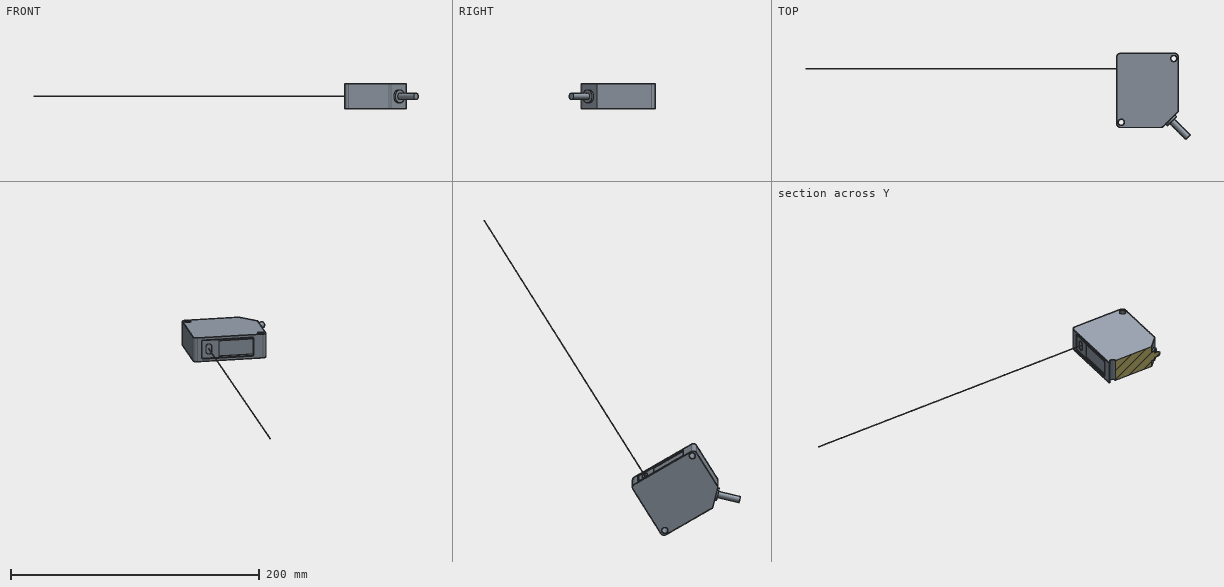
import cadquery as cq
import math

total_length = 309.5
total_width = 69.5

housing_length = 49.8
housing_width = 60.0
housing_height = 20.5
corner_radius = 3.0
cable_bevel = 13.0
bevel_radius = 2.5

cover_thickness = 0.3
cover_inset = 0.3

hole_diameter = 4.5
cover_hole_diameter = 5.3
hole_inset_x = 3.7
hole_inset_y = 4.3

window_width = 43.0
window_height = 16.0
window_radius = 1.5
window_inset = 6.5
rim_depth = 0.3
window_step = 0.5
step_depth = 0.3
panel_width = 28.0
panel_height = 12.7
panel_depth = 0.3

lens_width = 4.5
lens_height = 8.7
lens_depth = 0.3
beam_inset = 12.7
beam_diameter = 0.3

gland_diameter = 10.5
gland_thickness = 2.0
cable_diameter = 5.3

window_low_y = housing_width - window_inset - window_width
step_low_y = window_low_y + window_step
window_floor = rim_depth + step_depth
panel_floor = window_floor + panel_depth
beam_y = housing_width - beam_inset

slant = math.sqrt(0.5)
cable_base_x = housing_length - cable_bevel / 2
cable_base_y = cable_bevel / 2
cable_end_y = housing_width - total_width + cable_diameter / 2 * slant
cable_length = (cable_base_y - cable_end_y) / slant
cable_tip_x = cable_base_x + (cable_length + cable_diameter / 2) * slant
beam_start_x = cable_tip_x - total_length


def outline_block(height):
    """Block with the housing outline: -X and +Y corners rounded, one corner bevelled for the cable."""
    block = (
        cq.Workplane("XY")
        .lineTo(housing_length - cable_bevel, 0)
        .lineTo(housing_length, cable_bevel)
        .lineTo(housing_length, housing_width)
        .lineTo(0, housing_width)
        .close()
        .extrude(height / 2, both=True)
    )
    block = block.edges("|Z and (<X or >Y)").fillet(corner_radius)
    bevel_start = cq.selectors.NearestToPointSelector((housing_length - cable_bevel, 0, 0))
    return block.edges(bevel_start).fillet(bevel_radius)


def housing():
    """Case with a thin cover, set in all around, on its top and on its bottom."""
    case = outline_block(housing_height - 2 * cover_thickness)
    covers = (
        outline_block(housing_height)
        .faces(">Z")
        .wires()
        .toPending()
        .offset2D(-cover_inset)
        .extrude(-housing_height, combine=False)
    )
    return case.union(covers)


def mounting_holes():
    """Through holes, slightly wider where they pass through the covers."""
    places = [
        (hole_inset_x, hole_inset_y),
        (housing_length - hole_inset_x, housing_width - hole_inset_y),
    ]
    holes = (
        cq.Workplane("XY")
        .pushPoints(places)
        .circle(hole_diameter / 2)
        .extrude(housing_height / 2, both=True)
    )
    for cover_low_z in (-housing_height / 2, housing_height / 2 - cover_thickness):
        cover_holes = (
            cq.Workplane("XY", origin=(0, 0, cover_low_z))
            .pushPoints(places)
            .circle(cover_hole_diameter / 2)
            .extrude(cover_thickness)
        )
        holes = holes.union(cover_holes)
    return holes


def recess(depth, low_y, width, height):
    """Block that sinks a rectangle of the -X face to the given depth."""
    block = cq.Workplane("XY").box(depth, width, height, centered=(False, False, True))
    return block.translate((0, low_y, 0))


def window():
    """Stepped recess of the optical window with its deeper panel."""
    rim = recess(rim_depth, window_low_y, window_width, window_height)
    rim = rim.edges("|X").fillet(window_radius)
    floor_width = window_width - 2 * window_step
    floor_height = window_height - 2 * window_step
    floor = recess(window_floor, step_low_y, floor_width, floor_height)
    panel = recess(panel_floor, step_low_y, panel_width, panel_height)
    return rim.union(floor).union(panel)


def lens():
    """Shallow upright slot around the beam, sunk into the window floor."""
    return (
        cq.Workplane("YZ", origin=(window_floor, beam_y, 0))
        .slot2D(lens_height, lens_width, 90)
        .extrude(lens_depth)
    )


def beam():
    """Thin round rod along X that runs into the middle of the housing."""
    return (
        cq.Workplane("YZ", origin=(beam_start_x, beam_y, 0))
        .circle(beam_diameter / 2)
        .extrude(housing_length / 2 - beam_start_x)
    )


def bevel_rod(diameter, length):
    """Rod that leaves the middle of the bevel at right angles."""
    base = cq.Plane(
        origin=(cable_base_x, cable_base_y, 0),
        xDir=(0, 0, 1),
        normal=(1, -1, 0),
    )
    return cq.Workplane(base).circle(diameter / 2).extrude(length)


result = (
    housing()
    .cut(mounting_holes())
    .cut(window())
    .cut(lens())
    .union(beam())
    .union(bevel_rod(gland_diameter, gland_thickness))
    .union(bevel_rod(cable_diameter, cable_length))
)